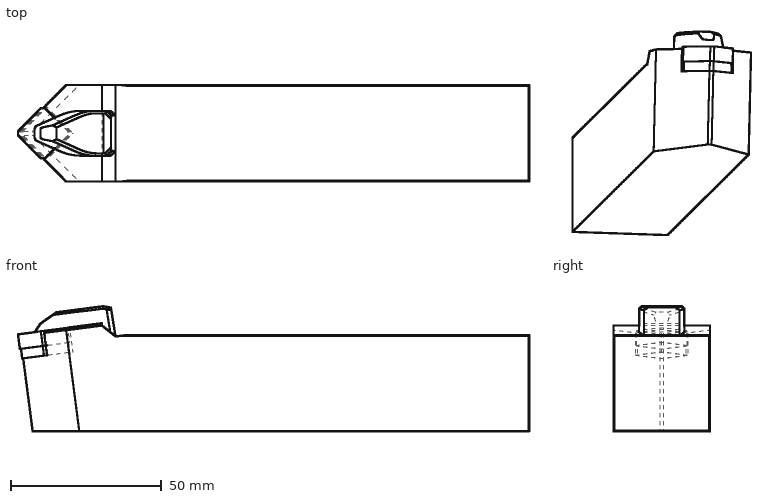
import cadquery as cq
import math

length = 169.7
width = 32.0
shank_height = 32.0
edge_chamfer = 0.3
chamfer_start_x = 36.5

tilt = math.radians(7.4)
tip_height = 32.2
ridge_x = 27.8
groove_x = 32.4

insert_side = 12.7
insert_thickness = 5.0
corner_cut = 0.93
insert_stand = 0.7
shim_thickness = 3.2
shim_inset = 0.25
head_setback = 0.7

clamp_half_width = 7.5
clamp_tip_x = 5.6
nose_half_angle = math.radians(24)
flank_angle = math.radians(48)
shoulder_radius = 17.8
shoulder_x = 17.5
tip_corner_radius = 1.2
ramp_start_x = 7.5
ramp_start_height = 35.8
ramp_end_x = 12.9
clamp_crest_x = 28.3
clamp_top = 41.5
clamp_back_x = 30.9
clamp_back_top = 41.0
clamp_edge_chamfer = 0.8
clamp_corner_chamfer = 1.5

reach = 2 * length

slope = math.tan(tilt)
half_diagonal = insert_side / math.sqrt(2)
corner_trim = corner_cut / math.sqrt(2)
insert_centre = half_diagonal - corner_trim
groove_height = shank_height - (chamfer_start_x - groove_x) * slope


def seat_plane(depth=0.0):
    """Tilted plane of the insert top, lowered by depth; its x runs back from the cutting tip."""
    top = cq.Plane(
        origin=(0, 0, tip_height),
        xDir=(math.cos(tilt), 0, math.sin(tilt)),
        normal=(-math.sin(tilt), 0, math.cos(tilt)),
    )
    return cq.Plane(origin=top.toWorldCoords((0, 0, -depth)), xDir=top.xDir, normal=top.zDir)


along_seat_normal = cq.selectors.ParallelDirSelector(seat_plane().zDir)


def seat_height(x, depth=0.0):
    """Height of the tilted seat plane at x, lowered by depth."""
    return tip_height + x * slope - depth / math.cos(tilt)


def square_block(side, thickness, depth):
    """Square block with one corner forward, its top at the given depth below the seat plane."""
    return (
        cq.Workplane(seat_plane(depth))
        .center(insert_centre, 0)
        .transformed(rotate=(0, 0, 45))
        .rect(side, side)
        .extrude(-thickness)
    )


def side_profile(points):
    """Plate of the given XZ outline, as wide as the shank and centred on Y = 0."""
    return cq.Workplane("XZ").polyline(points).close().extrude(width / 2, both=True)


def make_insert():
    """Square cutting insert."""
    return square_block(insert_side, insert_thickness, 0).edges(along_seat_normal).chamfer(corner_cut)


def make_shim():
    """Support plate under the insert, set in slightly all round."""
    side = insert_side - 2 * shim_inset
    return square_block(side, shim_thickness, insert_thickness).edges(along_seat_normal).chamfer(corner_cut)


def make_pointed_outline():
    """Right-angled point, square to the tilted seat, that trims the head."""
    head_tip = head_setback - corner_trim
    return (
        cq.Workplane(seat_plane())
        .polyline([(head_tip, 0), (head_tip + reach, -reach), (head_tip + reach, reach)])
        .close()
        .extrude(reach, both=True)
        .edges(along_seat_normal)
        .edges("<X")
        .chamfer(corner_cut)
    )


def make_shank():
    """Bar with the tilted head top, the clamp groove and the pointed head."""
    bar = side_profile(
        [
            (0, 0),
            (length, 0),
            (length, shank_height),
            (chamfer_start_x, shank_height),
            (groove_x, groove_height),
            (ridge_x, seat_height(ridge_x, insert_stand)),
            (0, seat_height(0, insert_stand)),
        ]
    )
    bar = bar.faces(">X").edges().chamfer(edge_chamfer)
    bar = bar.faces("+Z").edges("|X").chamfer(edge_chamfer)
    return bar.intersect(make_pointed_outline())


def clamp_nose():
    """Clamp plan: straight flanks, then arcs into parallel sides, swept obliquely upwards."""
    shoulder_length = shoulder_radius * math.tan(nose_half_angle / 2)
    flank_end = (
        shoulder_x - shoulder_length * math.cos(nose_half_angle),
        clamp_half_width - shoulder_length * math.sin(nose_half_angle),
    )
    side_start = (shoulder_x + shoulder_length, clamp_half_width)
    shoulder_middle = (
        side_start[0] - shoulder_radius * math.sin(nose_half_angle / 2),
        clamp_half_width - shoulder_radius * (1 - math.cos(nose_half_angle / 2)),
    )
    apex = (shoulder_x - clamp_half_width / math.tan(nose_half_angle), 0)
    half_plan = (
        cq.Workplane(seat_plane())
        .moveTo(*apex)
        .lineTo(*flank_end)
        .threePointArc(shoulder_middle, side_start)
        .lineTo(reach, clamp_half_width)
        .lineTo(reach, 0)
        .close()
    )
    sweep = cq.Vector(math.cos(flank_angle), 0, math.sin(flank_angle)) * shank_height
    half_prism = cq.Solid.extrudeLinear(half_plan.val(), [], sweep * 2)
    half_nose = cq.Workplane(half_prism).translate(-sweep)
    return half_nose.union(half_nose.mirror("XZ"))


def make_clamp():
    """Clamp resting on the insert and bearing against the groove slope."""
    side_plate = side_profile(
        [
            (clamp_tip_x, seat_height(clamp_tip_x)),
            (ridge_x, seat_height(ridge_x)),
            (ridge_x, seat_height(ridge_x, insert_stand)),
            (groove_x, groove_height),
            (clamp_back_x, clamp_back_top),
            (clamp_crest_x, clamp_top),
            (ramp_end_x, clamp_top - (clamp_crest_x - ramp_end_x) * slope),
            (ramp_start_x, ramp_start_height),
        ]
    )
    clamp = side_plate.intersect(clamp_nose())
    clamp = clamp.faces(">X").edges("not(|Y)").chamfer(clamp_corner_chamfer)
    clamp = clamp.faces("<X").edges("not(|Y)").fillet(tip_corner_radius)
    return clamp.faces(">>Z or >>Z[-2]").edges("not(|Y)").chamfer(clamp_edge_chamfer)


def make_holder():
    """Shank with the insert pocket, its shim and its clamp, all in one piece."""
    pocket = square_block(insert_side, insert_thickness + shim_thickness, 0)
    return make_shank().cut(pocket).union(make_shim()).union(make_clamp())


insert = make_insert()
holder = make_holder()
result = cq.Compound.makeCompound([holder.val(), insert.val()])